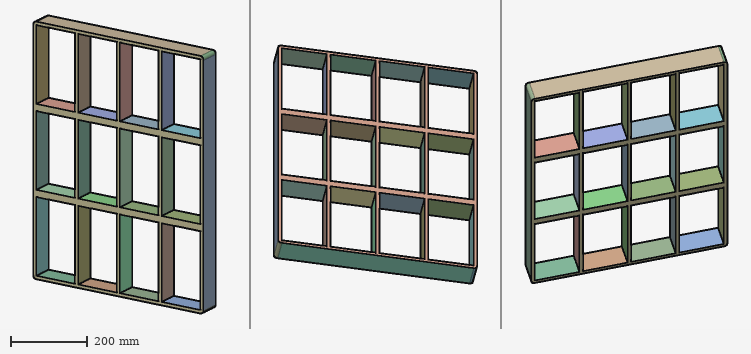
import cadquery as cq

width = 532.0
depth = 60.0
height = 714.0
corner_radius = 10.0

border = 10.0
upright_width = 10.0
rail_height = 2 * border
columns = 4
rows = 3

opening_width = (width - 2 * border - (columns - 1) * upright_width) / columns
opening_height = (height - 2 * border - (rows - 1) * rail_height) / rows


def make_block():
    """Solid slab centred on the origin, with its four long corners rounded."""
    block = cq.Workplane("XY").box(width, depth, height)
    return block.edges("|Y").fillet(corner_radius)


def make_openings():
    """Grid of rectangular bars that passes through the full depth."""
    return (
        cq.Workplane("XZ")
        .rarray(opening_width + upright_width, opening_height + rail_height, columns, rows)
        .rect(opening_width, opening_height)
        .extrude(depth, both=True)
    )


result = make_block().cut(make_openings())